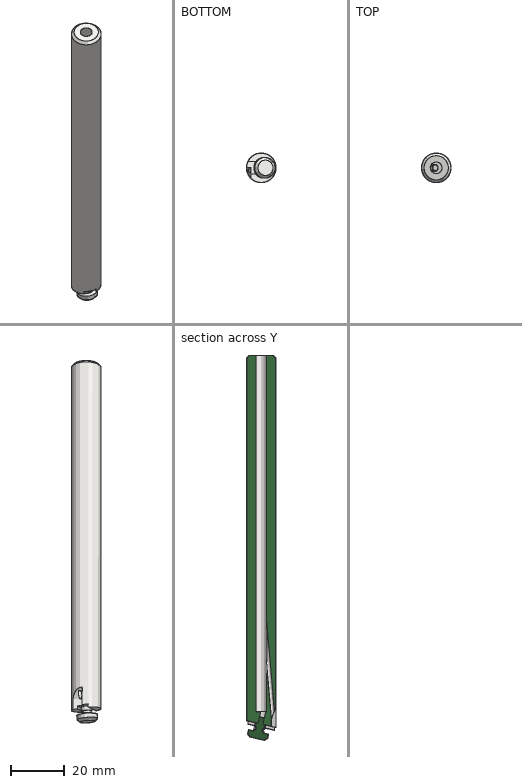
import cadquery as cq
import math

TOTAL_LENGTH = 143.7
SHANK_DIAMETER = 11.0
TOP_CHAMFER = 1.0

TILT = 13
TILT_SIN = math.sin(math.radians(TILT))
TILT_COS = math.cos(math.radians(TILT))
END_FACE_HEIGHT = 4.9

SLOT_WIDTH = 4.6
SLOT_DEPTH = 1.1

POCKET_FLOOR_X = -3.7
POCKET_WALL_Y = -0.1
POCKET_RUNOUT_RADIUS = 9.3
POCKET_RUNOUT_START = 6.3

BORE_RADIUS = 2.2
BORE_FLOOR = 10.8
DUCT_RADIUS = 0.65
DUCT_Y = 1.0
DUCT_TILT = 5
DUCT_TOP_X = -0.6
DUCT_EXIT_X = -4.3
DUCT_EXIT_HEIGHT = 9.9
DUCT_BOTTOM_X = -4.7

HEAD_RADIUS = 3.9
HEAD_THICKNESS = 2.6
HEAD_CHAMFER = 1.0
HEAD_CENTRE_X = 1.6
BASE_RADIUS = 2.0
BASE_THICKNESS = 0.6
NECK_RADIUS = 1.6
COLLAR_RADIUS = 2.0
COLLAR_STANDOUT = 0.5
STUD_RADIUS = 1.3
STUD_TIP_CHAMFER = 0.22
SCREW_LENGTH = 8.2

HEAD_CENTRE_Z = (HEAD_RADIUS - HEAD_CHAMFER) * TILT_SIN
END_FACE_OFFSET = (END_FACE_HEIGHT - HEAD_CENTRE_Z) * TILT_COS + HEAD_CENTRE_X * TILT_SIN
SLOT_FLOOR_OFFSET = END_FACE_OFFSET + SLOT_DEPTH

CLEARANCE = 14.4


def tilted_plane(offset):
    """Plane square to the screw axis, at a distance along it from the head underside."""
    origin = (HEAD_CENTRE_X - offset * TILT_SIN, 0, HEAD_CENTRE_Z + offset * TILT_COS)
    return cq.Plane(origin=origin, xDir=(TILT_COS, 0, TILT_SIN), normal=(-TILT_SIN, 0, TILT_COS))


def disc(radius, start, end):
    """Round section about the screw axis, between two distances along it."""
    return cq.Workplane(tilted_plane(start)).circle(radius).extrude(end - start)


def end_trim():
    """Everything below the slanted end face."""
    size = 2 * CLEARANCE
    return cq.Workplane(tilted_plane(END_FACE_OFFSET)).rect(size, size).extrude(-CLEARANCE)


def end_slot():
    """Slot through the slanted end face, running across the shank from -X to +X."""
    size = 2 * CLEARANCE
    return cq.Workplane(tilted_plane(SLOT_FLOOR_OFFSET)).rect(size, SLOT_WIDTH).extrude(-CLEARANCE)


def pocket():
    """Flat-floored pocket on the -X side that curves out to the shank surface at its top."""
    curve_centre_x = POCKET_FLOOR_X - POCKET_RUNOUT_RADIUS
    diagonal = POCKET_RUNOUT_RADIUS * math.sqrt(0.5)
    return (
        cq.Workplane("XZ", origin=(0, POCKET_WALL_Y, 0))
        .moveTo(curve_centre_x, 0)
        .lineTo(POCKET_FLOOR_X, 0)
        .lineTo(POCKET_FLOOR_X, POCKET_RUNOUT_START)
        .threePointArc(
            (curve_centre_x + diagonal, POCKET_RUNOUT_START + diagonal),
            (curve_centre_x, POCKET_RUNOUT_START + POCKET_RUNOUT_RADIUS),
        )
        .close()
        .extrude(-CLEARANCE)
    )


def coolant_duct():
    """Steep straight duct from the bore down to the curved pocket floor."""
    tilt = math.radians(DUCT_TILT)
    bottom_height = DUCT_EXIT_HEIGHT - (DUCT_EXIT_X - DUCT_BOTTOM_X) / math.tan(tilt)
    length = (DUCT_TOP_X - DUCT_BOTTOM_X) / math.sin(tilt)
    plane = cq.Plane(
        origin=(DUCT_BOTTOM_X, DUCT_Y, bottom_height),
        xDir=(0, 1, 0),
        normal=(math.sin(tilt), 0, math.cos(tilt)),
    )
    return cq.Workplane(plane).circle(DUCT_RADIUS).extrude(length)


def screw_hole():
    """Tilted hole for the stud, ending where its whole rim has broken through the bore floor."""
    length = (BORE_FLOOR - HEAD_CENTRE_Z) / TILT_COS + STUD_RADIUS * TILT_SIN / TILT_COS
    return disc(STUD_RADIUS, 0, length)


def make_shank():
    rod = cq.Workplane("XY").circle(SHANK_DIAMETER / 2).extrude(TOTAL_LENGTH)
    blank = rod.faces(">Z").chamfer(TOP_CHAMFER)
    bore = (
        cq.Workplane("XY", origin=(0, 0, BORE_FLOOR))
        .circle(BORE_RADIUS)
        .extrude(TOTAL_LENGTH - BORE_FLOOR)
    )
    return (
        blank.cut(end_trim())
        .cut(end_slot())
        .cut(pocket())
        .cut(bore)
        .cut(screw_hole())
        .cut(coolant_duct())
    )


def make_screw():
    head = disc(HEAD_RADIUS, 0, HEAD_THICKNESS).faces("<Z").chamfer(HEAD_CHAMFER)
    base = disc(BASE_RADIUS, 0, HEAD_THICKNESS + BASE_THICKNESS)
    neck = disc(NECK_RADIUS, 0, SLOT_FLOOR_OFFSET)
    collar = disc(COLLAR_RADIUS, END_FACE_OFFSET - COLLAR_STANDOUT, SLOT_FLOOR_OFFSET)
    stud = disc(STUD_RADIUS, 0, SCREW_LENGTH).faces(">Z").chamfer(STUD_TIP_CHAMFER)
    return head.union(base).union(neck).union(collar).union(stud)


shank = make_shank()
screw = make_screw()

result = cq.Compound.makeCompound([shank.solids().val(), screw.solids().val()])